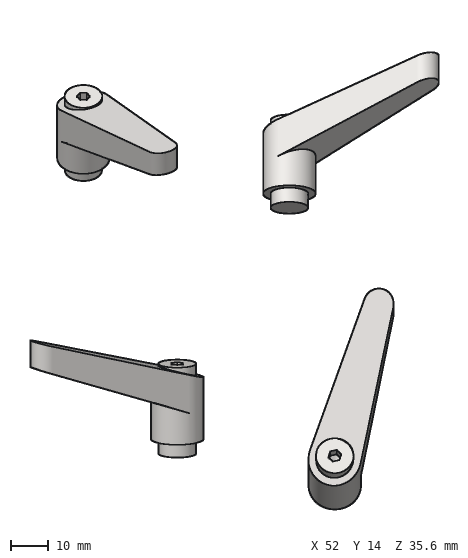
import cadquery as cq
import math

overall_length = 52.0
overall_height = 35.65
hub_radius = 6.995
tip_radius = 4.0
hub_base = 3.95
hub_edge_height = 20.5
tip_bottom = 28.45
arm_bottom_slope = 0.362
screw_radius = 5.0
screw_top = 24.45
hex_across_flats = 3.0
hex_depth = 3.0
drill_angle = 118
trim_margin = 2.6

hub_end = -hub_radius
tip_end = overall_length - hub_radius
tip_center = tip_end - tip_radius

tangent_cos = (hub_radius - tip_radius) / tip_center
tangent_sin = math.sqrt(1 - tangent_cos**2)
hub_tangent = (hub_radius * tangent_cos, hub_radius * tangent_sin)
tip_tangent = (tip_center + tip_radius * tangent_cos, tip_radius * tangent_sin)


def make_hub():
    """Upright cylinder, left tall for the sloping top to trim."""
    return (
        cq.Workplane("XY", origin=(0, 0, hub_base))
        .circle(hub_radius)
        .extrude(overall_height - hub_base)
    )


def make_arm():
    """Tapered arm with a round tip and a sloping underside."""
    outline = (
        cq.Workplane("XY")
        .polyline([(hub_tangent[0], -hub_tangent[1]), hub_tangent, tip_tangent])
        .threePointArc((tip_end, 0), (tip_tangent[0], -tip_tangent[1]))
        .close()
        .extrude(overall_height)
    )
    reach = tip_end - hub_tangent[0]
    start_bottom = tip_bottom - arm_bottom_slope * reach
    far_x = tip_end + trim_margin
    far_bottom = tip_bottom + arm_bottom_slope * trim_margin
    side = [
        (hub_tangent[0], start_bottom),
        (far_x, far_bottom),
        (far_x, overall_height + trim_margin),
        (hub_tangent[0], overall_height + trim_margin),
    ]
    return outline.intersect(make_side_prism(side))


def make_side_prism(points):
    """Side profile in XZ, extruded symmetrically past the hub width."""
    half_width = hub_radius + trim_margin
    return cq.Workplane("XZ").polyline(points).close().extrude(half_width, both=True)


def make_top_trim():
    """Everything above the sloping top shared by the hub and the arm."""
    top_slope = (overall_height - hub_edge_height) / overall_length
    near_x = hub_end - trim_margin
    far_x = tip_end + trim_margin
    ceiling = overall_height + 2 * trim_margin
    return make_side_prism([
        (near_x, hub_edge_height - top_slope * trim_margin),
        (far_x, overall_height + top_slope * trim_margin),
        (far_x, ceiling),
        (near_x, ceiling),
    ])


def make_screw():
    """Cylinder passing through the hub and protruding at both ends."""
    return cq.Workplane("XY").circle(screw_radius).extrude(screw_top)


def make_hex_socket():
    """Hexagonal recess with corners on the X axis and a conical floor."""
    corner_radius = hex_across_flats / 2 / math.cos(math.pi / 6)
    cone_depth = corner_radius / math.tan(math.radians(drill_angle / 2))
    bottom = screw_top - hex_depth - cone_depth
    hexagon = (
        cq.Workplane("XY", origin=(0, 0, bottom))
        .polygon(6, 2 * corner_radius)
        .extrude(screw_top - bottom)
    )
    drill = (
        cq.Workplane("XZ")
        .polyline([
            (0, bottom),
            (corner_radius, bottom + cone_depth),
            (corner_radius, screw_top),
            (0, screw_top),
        ])
        .close()
        .revolve(360, (0, 0, 0), (0, 1, 0))
    )
    return hexagon.intersect(drill)


handle = make_hub().union(make_arm()).cut(make_top_trim())
result = handle.union(make_screw()).cut(make_hex_socket())